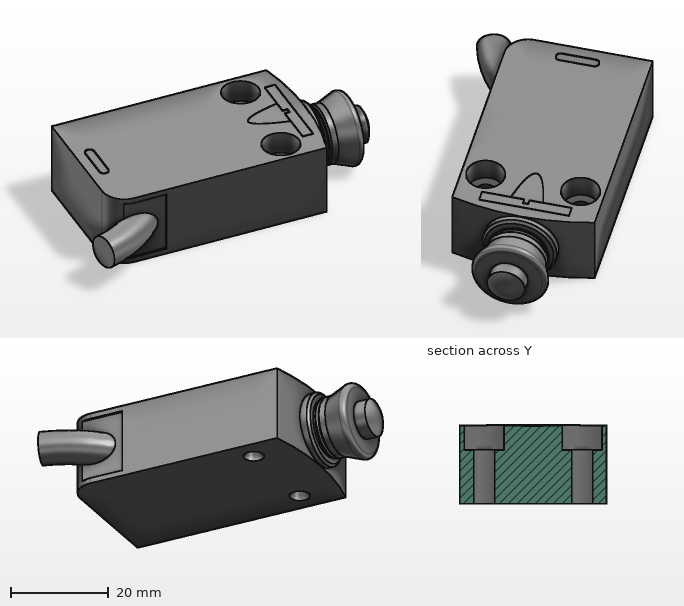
import cadquery as cq
import math

OVERALL_LENGTH = 68.5
OVERALL_WIDTH = 37.9

WIDTH = 30.0
THICKNESS = 16.0
SHOULDER_Y = 48.1
CROWN_Y = 50.1
CORNER_RADIUS = 5.0
SIDE_X = WIDTH / 2
MID_Z = THICKNESS / 2

HOLE_DIAMETER = 4.25
BORE_DIAMETER = 8.0
BORE_DEPTH = 5.0
HOLE_SPACING = 20.0
HOLE_Y = 40.1

BAR_LENGTH = 18.9
BAR_WIDTH = 2.3
BAR_HEIGHT = 0.15
BAR_BOTTOM_Y = 45.2
NOTCH_SIZE = 1.1
TONGUE_HALF_WIDTH = 3.4
TONGUE_TIP_Y = 37.3
ENGRAVING_DEPTH = 0.1

WINDOW_LENGTH = 9.05
WINDOW_WIDTH = 2.0
WINDOW_Y = 3.35
WINDOW_CORNER_RADIUS = 0.9
WINDOW_DEPTH = 0.2

RECESS_SIZE = 13.6
RECESS_DEPTH = 0.5
RECESS_Y = 5.5

CABLE_RADIUS = 3.5
BEND_RADIUS = 24.0
END_ANGLE = 15
BURIED_ANGLE = 60

PIN_RADIUS = 4.0
PIN_TOP_Y = 63.7
PIN_DOME_Y = 62.55
RIM_RADIUS = 8.0
RIM_TOP_Y = 59.95
RIM_ROUNDING = 1.0
CONE_ANGLE = 21
WAIST_RADIUS = 6.45
WAIST_BOTTOM_Y = 53.2
GROOVE_RADIUS = 6.0
GROOVE_PITCH = 0.75
COLLAR_RADIUS = 7.8
COLLAR_TOP_Y = 51.65
COLLAR_CHAMFER = 0.55
COLLAR_BASE_Y = SHOULDER_Y


def make_housing():
    block = (
        cq.Workplane("XY")
        .moveTo(-SIDE_X, 0)
        .lineTo(SIDE_X, 0)
        .lineTo(SIDE_X, SHOULDER_Y)
        .threePointArc((0, CROWN_Y), (-SIDE_X, SHOULDER_Y))
        .close()
        .extrude(THICKNESS)
    )
    return block.edges("|Z").edges(">X and <Y").fillet(CORNER_RADIUS)


def make_notch(height):
    return cq.Workplane("XY").box(NOTCH_SIZE, NOTCH_SIZE, height, centered=(True, False, False))


def make_tongue():
    """Parabolic tongue narrowing from the label bar to its tip, with the notch as its root."""
    length = BAR_BOTTOM_Y - TONGUE_TIP_Y

    def parabola(t):
        return (TONGUE_HALF_WIDTH * t, TONGUE_TIP_Y + length * t**2)

    tongue = (
        cq.Workplane("XY", origin=(0, 0, THICKNESS - ENGRAVING_DEPTH))
        .parametricCurve(parabola, start=-1, stop=1, makeWire=False)
        .close()
        .extrude(ENGRAVING_DEPTH)
    )
    root = make_notch(ENGRAVING_DEPTH).translate((0, BAR_BOTTOM_Y, THICKNESS - ENGRAVING_DEPTH))
    return tongue.union(root)


def make_window():
    return (
        cq.Workplane("XY", origin=(0, WINDOW_Y, THICKNESS - WINDOW_DEPTH))
        .rect(WINDOW_LENGTH, WINDOW_WIDTH)
        .extrude(WINDOW_DEPTH)
        .edges("|Z")
        .fillet(WINDOW_CORNER_RADIUS)
    )


def make_label_bar():
    bar = cq.Workplane("XY").box(BAR_LENGTH, BAR_WIDTH, BAR_HEIGHT, centered=(True, False, False))
    return bar.cut(make_notch(BAR_HEIGHT)).translate((0, BAR_BOTTOM_Y, THICKNESS))


def make_recess():
    return (
        cq.Workplane("YZ", origin=(SIDE_X - RECESS_DEPTH, RECESS_Y, MID_Z))
        .rect(RECESS_SIZE, RECESS_SIZE)
        .extrude(RECESS_DEPTH)
    )


def make_cable():
    """Round cable bent along an arc, its inner end buried in the housing."""
    end = math.radians(END_ANGLE)
    outer_radius = BEND_RADIUS + CABLE_RADIUS
    inner_radius = BEND_RADIUS - CABLE_RADIUS
    centre_x = OVERALL_WIDTH - SIDE_X - outer_radius * math.cos(end)
    centre_y = PIN_TOP_Y - OVERALL_LENGTH - inner_radius * math.sin(end)
    bend = (
        cq.Workplane("XZ", origin=(centre_x, centre_y, MID_Z))
        .center(BEND_RADIUS, 0)
        .circle(CABLE_RADIUS)
        .revolve(BURIED_ANGLE - END_ANGLE, (-BEND_RADIUS, 0), (-BEND_RADIUS, 1))
    )
    return bend.rotate((centre_x, centre_y, 0), (centre_x, centre_y, 1), END_ANGLE)


def make_plunger():
    """Domed pin, flared head, grooved neck and collar as one turned body."""
    slope = math.radians(CONE_ANGLE)
    dome_height = PIN_TOP_Y - PIN_DOME_Y
    dome_radius = (PIN_RADIUS**2 + dome_height**2) / (2 * dome_height)
    dome_half_angle = math.asin(PIN_RADIUS / dome_radius) / 2
    dome_middle = (
        dome_radius * math.sin(dome_half_angle),
        PIN_TOP_Y - dome_radius * (1 - math.cos(dome_half_angle)),
    )
    rim_centre = (RIM_RADIUS - RIM_ROUNDING, RIM_TOP_Y - RIM_ROUNDING)
    rim_end = (
        rim_centre[0] + RIM_ROUNDING * math.cos(slope),
        rim_centre[1] - RIM_ROUNDING * math.sin(slope),
    )
    ridge_y = WAIST_BOTTOM_Y - GROOVE_PITCH
    waist_top_y = rim_end[1] - (rim_end[0] - WAIST_RADIUS) / math.tan(slope)
    profile = (
        cq.Workplane("XY", origin=(0, 0, MID_Z))
        .moveTo(0, PIN_TOP_Y)
        .threePointArc(dome_middle, (PIN_RADIUS, PIN_DOME_Y))
        .lineTo(PIN_RADIUS, RIM_TOP_Y)
        .lineTo(rim_centre[0], RIM_TOP_Y)
        .threePointArc((RIM_RADIUS, rim_centre[1]), rim_end)
        .lineTo(WAIST_RADIUS, waist_top_y)
        .lineTo(WAIST_RADIUS, WAIST_BOTTOM_Y)
        .lineTo(GROOVE_RADIUS, WAIST_BOTTOM_Y - GROOVE_PITCH / 2)
        .lineTo(WAIST_RADIUS, ridge_y)
        .lineTo(GROOVE_RADIUS, ridge_y - GROOVE_PITCH / 2)
        .lineTo(GROOVE_RADIUS, COLLAR_TOP_Y)
        .lineTo(COLLAR_RADIUS - COLLAR_CHAMFER, COLLAR_TOP_Y)
        .lineTo(COLLAR_RADIUS, COLLAR_TOP_Y - COLLAR_CHAMFER)
        .lineTo(COLLAR_RADIUS, COLLAR_BASE_Y)
        .lineTo(0, COLLAR_BASE_Y)
        .close()
    )
    return profile.revolve(360, (0, 0, 0), (0, 1, 0))


housing = (
    make_housing()
    .cut(make_tongue())
    .cut(make_window())
    .cut(make_recess())
    .faces(">Z")
    .workplane(origin=(0, HOLE_Y, THICKNESS))
    .pushPoints([(-HOLE_SPACING / 2, 0), (HOLE_SPACING / 2, 0)])
    .cboreHole(HOLE_DIAMETER, BORE_DIAMETER, BORE_DEPTH)
)
result = housing.union(make_label_bar()).union(make_plunger()).union(make_cable())